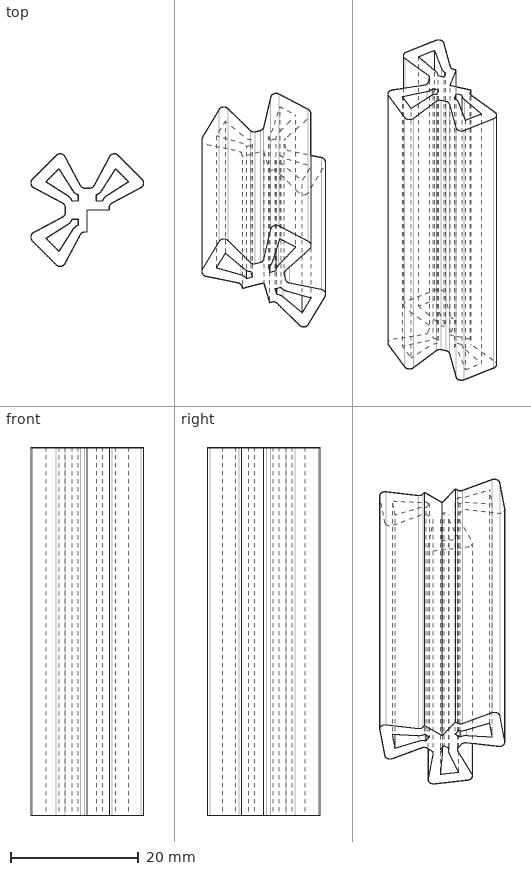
import cadquery as cq
import math

length = 57.65
overall_width = 17.7
tip_face_distance = 9.5
tip_radius = 0.85
groove_floor = 3.45
groove_floor_half_width = 0.85
groove_radius = 0.75
arm_flank_angle = 28.0

slot_inner = 1.45
slot_mouth = 2.35
slot_neck = (2.65, 2.0)
slot_neck_radius = 1.75
slot_tip = (6.45, 4.45)

flank_slope = math.tan(math.radians(arm_flank_angle))
tip_sum = tip_face_distance * math.sqrt(2)
flank_start = groove_floor_half_width - flank_slope * groove_floor
tip_far = (tip_sum - flank_start) / (1 + flank_slope)
tip_near = tip_sum - tip_far


def extrude_outline(points):
    return cq.Workplane("XY").polyline(points).close().extrude(length)


def edges_at(body, corners):
    """Select the upright edges that stand on the given corners."""
    picked = [
        edge
        for edge in body.edges("|Z").vals()
        if any(math.dist((edge.Center().x, edge.Center().y), corner) < 0.0005 for corner in corners)
    ]
    return body.newObject(picked)


def rotate_quarters(point, quarters):
    x, y = point
    for _ in range(quarters):
        x, y = -y, x
    return (x, y)


def four_times(points):
    return [rotate_quarters(point, quarter) for quarter in range(4) for point in points]


def make_star():
    """Four flared arms on the diagonals, with rounded tips and groove corners."""
    tip_corners = [(tip_far, tip_near), (tip_near, tip_far)]
    groove_corners = [
        (groove_floor_half_width, groove_floor),
        (-groove_floor_half_width, groove_floor),
    ]
    star = extrude_outline(four_times(tip_corners + groove_corners))
    star = edges_at(star, four_times(tip_corners)).fillet(tip_radius)
    return edges_at(star, four_times(groove_corners)).fillet(groove_radius)


def make_slot(quarter):
    """Tapered hollow with a rounded neck, running the full length of one arm."""
    lower_side = [(slot_mouth, slot_inner), slot_neck, slot_tip]
    upper_side = [(y, x) for x, y in reversed(lower_side)]
    outline = [(slot_inner, slot_inner)] + lower_side + upper_side
    slot = extrude_outline([rotate_quarters(point, quarter) for point in outline])
    necks = [rotate_quarters(point, quarter) for point in (slot_neck, slot_neck[::-1])]
    return edges_at(slot, necks).fillet(slot_neck_radius)


def make_missing_quadrant():
    """The +X, -Y quadrant, which carries no arm."""
    return cq.Workplane("XY").rect(overall_width, -overall_width, centered=False).extrude(length)


result = make_star().cut(make_missing_quadrant())
for arm_quarter in range(3):
    result = result.cut(make_slot(arm_quarter))